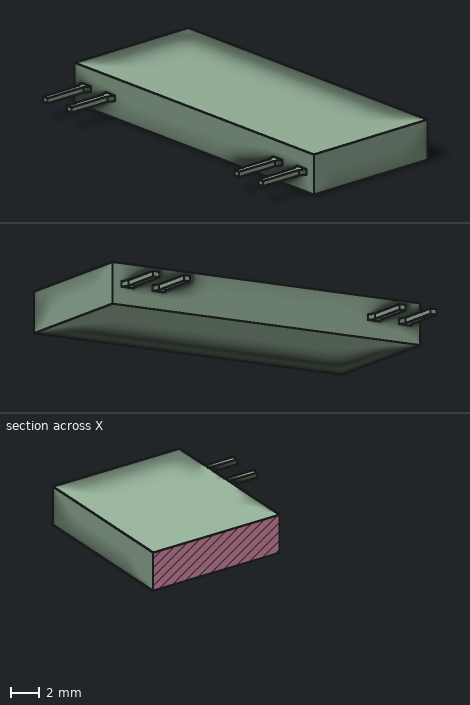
import cadquery as cq

body_length = 25.4
overall_depth = 14.73
body_height = 3.05
pin_length = 3.9
body_depth = overall_depth - pin_length

pin_pitch = 2.55
end_margin = pin_pitch / 2
pin_width = 0.5
pin_thickness = 0.4
shoulder_width = 1.02
shoulder_length = 0.5

front_y = pin_length - overall_depth / 2


def make_pin(center_x):
    """Flat pin with a tapered shoulder, centred on the body height."""
    half_pin = pin_width / 2
    half_shoulder = shoulder_width / 2
    outline = [
        (center_x - half_shoulder, front_y),
        (center_x - half_pin, front_y - shoulder_length),
        (center_x - half_pin, front_y - pin_length),
        (center_x + half_pin, front_y - pin_length),
        (center_x + half_pin, front_y - shoulder_length),
        (center_x + half_shoulder, front_y),
    ]
    return cq.Workplane("XY").polyline(outline).close().extrude(pin_thickness / 2, both=True)


result = cq.Workplane("XY").box(body_length, body_depth, body_height).translate((0, front_y + body_depth / 2, 0))

outer_x = body_length / 2 - end_margin
inner_x = outer_x - pin_pitch
for pin_x in (-outer_x, -inner_x, inner_x, outer_x):
    result = result.union(make_pin(pin_x))